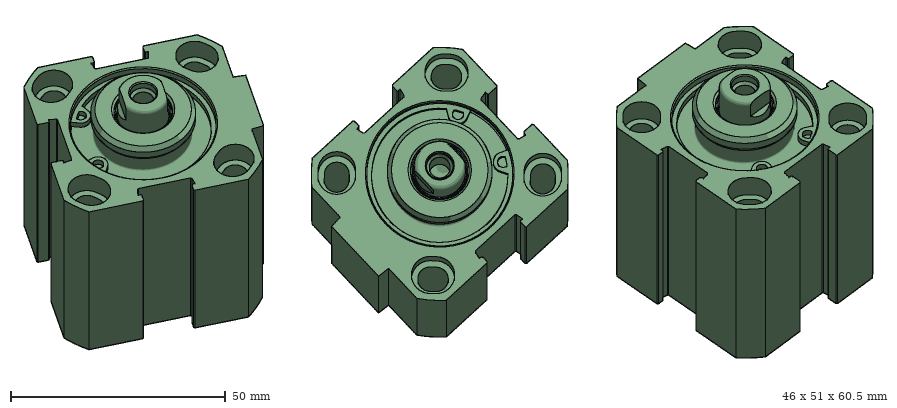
import cadquery as cq
import math


TOTAL_HEIGHT = 60.5
HOUSING_HEIGHT = 49.5
HALF_WIDTH_X = 23.0
HALF_WIDTH_Y = 24.0
CORNER_RADIUS = 30.0

RIB_TOP_Y = 27.0
RIB_BASE_HALF_WIDTH = 8.3
RIB_TOP_HALF_WIDTH = 8.05

SLOT_MOUTH_HALF_WIDTH = 6.05
SLOT_UNDERCUT_HALF_WIDTH = 6.9
SLOT_FLOOR_HALF_WIDTH = 6.55
SLOT_EDGE_CHAMFER = 0.25
SIDE_SLOT_LIP = 2.0
SIDE_SLOT_DEPTH = 3.95
FRONT_SLOT_LIP = 3.0
FRONT_SLOT_DEPTH = 5.0

MOUNT_X = 16.5
MOUNT_Y = 17.5
MOUNT_HOLE_DIAMETER = 5.8
MOUNT_RECESS_DIAMETER = 8.8
MOUNT_RECESS_DEPTH = 5.7
MOUNT_STRETCH = 1.35

MOUTH_DIAMETER = 34.1
MOUTH_CHAMFER = 0.3
COVER_TOP_DEPTH = 3.5
COVER_LENGTH = 10.0

RING_DIAMETER = 35.8
RING_INNER_RADIUS = 15.9
RING_THICKNESS = 1.5
LUG_RADIUS = 2.3
LUG_HOLE_DIAMETER = 2.6
LUG_X = 7.75
LUG_Y = 13.0
LUG_HEEL_ANGLE = 41.5

FLANGE_DIAMETER = 33.7
NECK_DIAMETER = 23.0
NECK_FILLET = 0.5
COLLAR_DIAMETER = 24.5
COLLAR_TOP_DIAMETER = 22.5
COLLAR_TOP_ABOVE_HOUSING = 5.0
COLLAR_TOP_BEVEL = 1.1
COLLAR_BAND = 1.95
COLLAR_LOWER_BEVEL = 1.2
SEAL_MOUTH_DIAMETER = 14.75
SEAL_DIAMETER = 13.7
SEAL_BEVEL = 0.55
SEAL_DEPTH = 1.2
SEAL_LIP_TOP_DIAMETER = 13.05
SEAL_LIP_DIAMETER = 12.5
SEAL_LIP_DEPTH = 2.4

ROD_DIAMETER = 12.0
ROD_ROUNDING = 1.2
FLAT_HALF_WIDTH = 5.0
FLAT_LENGTH = 4.6
SOCKET_MOUTH_DIAMETER = 6.8
SOCKET_DIAMETER = 6.25
SOCKET_DEPTH = 2.0
THREAD_DIAMETER = 4.9
THREAD_START = 2.65
THREAD_END = 12.1
DRILL_POINT_ANGLE = 164.0

COVER_TOP_Z = HOUSING_HEIGHT - COVER_TOP_DEPTH
BORE_FLOOR_Z = COVER_TOP_Z - COVER_LENGTH
COLLAR_TOP_Z = HOUSING_HEIGHT + COLLAR_TOP_ABOVE_HOUSING


def cylinder(diameter, z_low, z_high):
    """A round body on the bore axis between two levels."""
    return cq.Workplane("XY").workplane(offset=z_low).circle(diameter / 2).extrude(z_high - z_low)


def revolved(points):
    """A body turned about the bore axis from (radius, z) points."""
    return cq.Workplane("XZ").polyline(points).close().revolve(360, (0, 0, 0), (0, 1, 0))


def slot_cutter(face_distance, lip, depth):
    """A dovetail-like slot through the -Y side, running the full housing height."""
    face_y = -face_distance
    outline = [
        (SLOT_MOUTH_HALF_WIDTH + SLOT_EDGE_CHAMFER, face_y),
        (SLOT_MOUTH_HALF_WIDTH, face_y + SLOT_EDGE_CHAMFER),
        (SLOT_MOUTH_HALF_WIDTH, face_y + lip - SLOT_EDGE_CHAMFER),
        (SLOT_MOUTH_HALF_WIDTH + SLOT_EDGE_CHAMFER, face_y + lip),
        (SLOT_UNDERCUT_HALF_WIDTH, face_y + lip),
        (SLOT_FLOOR_HALF_WIDTH, face_y + depth - SLOT_EDGE_CHAMFER),
        (SLOT_FLOOR_HALF_WIDTH - SLOT_EDGE_CHAMFER, face_y + depth),
    ]
    mirrored = [(-x, y) for x, y in reversed(outline)]
    return cq.Workplane("XY").polyline(outline + mirrored).close().extrude(HOUSING_HEIGHT)


def oval(x, y, diameter, z_low, z_high):
    """An oval prism stretched at right angles to the diagonal of its corner."""
    angle = -45 if x * y > 0 else 45
    return (
        cq.Workplane("XY").workplane(offset=z_low).center(x, y)
        .slot2D(diameter + MOUNT_STRETCH, diameter, angle).extrude(z_high - z_low)
    )


def make_profile():
    body = cq.Workplane("XY").rect(2 * HALF_WIDTH_X, 2 * HALF_WIDTH_Y).extrude(HOUSING_HEIGHT)
    body = body.intersect(cylinder(2 * CORNER_RADIUS, 0, HOUSING_HEIGHT))
    rib = (
        cq.Workplane("XY")
        .polyline([
            (-RIB_BASE_HALF_WIDTH, 0),
            (-RIB_BASE_HALF_WIDTH, HALF_WIDTH_Y),
            (-RIB_TOP_HALF_WIDTH, RIB_TOP_Y),
            (RIB_TOP_HALF_WIDTH, RIB_TOP_Y),
            (RIB_BASE_HALF_WIDTH, HALF_WIDTH_Y),
            (RIB_BASE_HALF_WIDTH, 0),
        ])
        .close().extrude(HOUSING_HEIGHT)
    )
    body = body.union(rib)
    side_slot = slot_cutter(HALF_WIDTH_X, SIDE_SLOT_LIP, SIDE_SLOT_DEPTH)
    for turn in (90, -90):
        body = body.cut(side_slot.rotate((0, 0, 0), (0, 0, 1), turn))
    return body.cut(slot_cutter(HALF_WIDTH_Y, FRONT_SLOT_LIP, FRONT_SLOT_DEPTH))


def make_housing():
    body = make_profile()
    for x in (-MOUNT_X, MOUNT_X):
        for y in (-MOUNT_Y, MOUNT_Y):
            recess_floor_z = HOUSING_HEIGHT - MOUNT_RECESS_DEPTH
            body = body.cut(oval(x, y, MOUNT_HOLE_DIAMETER, 0, HOUSING_HEIGHT))
            body = body.cut(oval(x, y, MOUNT_RECESS_DIAMETER, recess_floor_z, HOUSING_HEIGHT))
    mouth_radius = MOUTH_DIAMETER / 2
    groove_top_z = COVER_TOP_Z + RING_THICKNESS
    bore = revolved([
        (0, BORE_FLOOR_Z),
        (FLANGE_DIAMETER / 2, BORE_FLOOR_Z),
        (FLANGE_DIAMETER / 2, COVER_TOP_Z),
        (RING_DIAMETER / 2, COVER_TOP_Z),
        (RING_DIAMETER / 2, groove_top_z),
        (mouth_radius, groove_top_z),
        (mouth_radius, HOUSING_HEIGHT - MOUTH_CHAMFER),
        (mouth_radius + MOUTH_CHAMFER, HOUSING_HEIGHT),
        (0, HOUSING_HEIGHT),
    ])
    return body.cut(bore)


def make_cover():
    band_top_z = COLLAR_TOP_Z - COLLAR_TOP_BEVEL
    band_bottom_z = band_top_z - COLLAR_BAND
    seal_floor_z = COLLAR_TOP_Z - SEAL_DEPTH
    lip_floor_z = COLLAR_TOP_Z - SEAL_LIP_DEPTH
    outside = [
        (FLANGE_DIAMETER / 2, BORE_FLOOR_Z),
        (FLANGE_DIAMETER / 2, COVER_TOP_Z),
        (NECK_DIAMETER / 2, COVER_TOP_Z),
        (NECK_DIAMETER / 2, band_bottom_z - COLLAR_LOWER_BEVEL),
        (COLLAR_DIAMETER / 2, band_bottom_z),
        (COLLAR_DIAMETER / 2, band_top_z),
        (COLLAR_TOP_DIAMETER / 2, COLLAR_TOP_Z),
    ]
    inside = [
        (SEAL_MOUTH_DIAMETER / 2, COLLAR_TOP_Z),
        (SEAL_DIAMETER / 2, COLLAR_TOP_Z - SEAL_BEVEL),
        (SEAL_DIAMETER / 2, seal_floor_z),
        (SEAL_LIP_TOP_DIAMETER / 2, seal_floor_z),
        (SEAL_LIP_DIAMETER / 2, lip_floor_z),
        (ROD_DIAMETER / 2, lip_floor_z),
        (ROD_DIAMETER / 2, BORE_FLOOR_Z),
    ]
    cover = revolved(outside + inside)
    base_edges = cover.edges(cq.selectors.BoxSelector(
        (-COLLAR_DIAMETER / 2, -COLLAR_DIAMETER / 2, COVER_TOP_Z - NECK_FILLET),
        (COLLAR_DIAMETER / 2, COLLAR_DIAMETER / 2, COVER_TOP_Z + NECK_FILLET),
        boundingbox=True,
    ))
    return base_edges.fillet(NECK_FILLET)


def flat_cutter():
    """Material beyond the -Y wrench flat; its lower face slopes outward and down at 45 degrees."""
    reach = ROD_DIAMETER
    flat_end_z = TOTAL_HEIGHT - FLAT_LENGTH
    return (
        cq.Workplane("YZ")
        .polyline([
            (-FLAT_HALF_WIDTH, TOTAL_HEIGHT),
            (-FLAT_HALF_WIDTH, flat_end_z),
            (-FLAT_HALF_WIDTH - reach, flat_end_z - reach),
            (-FLAT_HALF_WIDTH - reach, TOTAL_HEIGHT),
        ])
        .close().extrude(ROD_DIAMETER, both=True)
    )


def make_rod():
    rod = cylinder(ROD_DIAMETER, BORE_FLOOR_Z, TOTAL_HEIGHT).faces(">Z").edges().fillet(ROD_ROUNDING)
    flat = flat_cutter()
    rod = rod.cut(flat).cut(flat.mirror("XZ"))
    mouth_bevel = (SOCKET_MOUTH_DIAMETER - SOCKET_DIAMETER) / 2
    thread_radius = THREAD_DIAMETER / 2
    drill_point = thread_radius / math.tan(math.radians(DRILL_POINT_ANGLE / 2))
    socket = revolved([
        (0, TOTAL_HEIGHT),
        (SOCKET_MOUTH_DIAMETER / 2, TOTAL_HEIGHT),
        (SOCKET_DIAMETER / 2, TOTAL_HEIGHT - mouth_bevel),
        (SOCKET_DIAMETER / 2, TOTAL_HEIGHT - SOCKET_DEPTH),
        (thread_radius, TOTAL_HEIGHT - THREAD_START),
        (thread_radius, TOTAL_HEIGHT - THREAD_END),
        (0, TOTAL_HEIGHT - THREAD_END - drill_point),
    ])
    return rod.cut(socket)


def polar_from_front(radius, angle):
    """A point at an angle in degrees from -Y toward +X."""
    return radius * math.sin(math.radians(angle)), -radius * math.cos(math.radians(angle))


def ring_plane():
    """A workplane at the underside of the retaining ring."""
    return cq.Workplane("XY").workplane(offset=COVER_TOP_Z)


def make_ring():
    lug_distance = math.hypot(LUG_X, LUG_Y)
    lug_angle = math.degrees(math.atan2(LUG_X, LUG_Y))
    end_angle = lug_angle - math.degrees(math.asin(LUG_RADIUS / lug_distance))
    end_distance = math.sqrt(lug_distance ** 2 - LUG_RADIUS ** 2)

    ring = ring_plane().circle(RING_DIAMETER / 2).circle(RING_INNER_RADIUS).extrude(RING_THICKNESS)
    gap_right = polar_from_front(RING_DIAMETER, end_angle)
    gap_left = (-gap_right[0], gap_right[1])
    ring = ring.cut(ring_plane().polyline([(0, 0), gap_right, gap_left]).close().extrude(RING_THICKNESS))

    heel = polar_from_front(RING_INNER_RADIUS, LUG_HEEL_ANGLE)
    heel_reach = math.hypot(heel[0] - LUG_X, heel[1] + LUG_Y)
    touch_turn = math.acos(LUG_RADIUS / heel_reach)
    touch_direction = math.atan2(heel[1] + LUG_Y, heel[0] - LUG_X) + touch_turn
    heel_touch = (
        LUG_X + LUG_RADIUS * math.cos(touch_direction),
        -LUG_Y + LUG_RADIUS * math.sin(touch_direction),
    )
    web_outline = [
        (LUG_X, -LUG_Y),
        polar_from_front(end_distance, end_angle),
        polar_from_front(RING_INNER_RADIUS, end_angle),
        polar_from_front(RING_DIAMETER / 2, lug_angle),
        heel,
        heel_touch,
    ]
    web = ring_plane().polyline(web_outline).close().extrude(RING_THICKNESS)
    eye = ring_plane().center(LUG_X, -LUG_Y).circle(LUG_RADIUS).extrude(RING_THICKNESS)
    hole = ring_plane().center(LUG_X, -LUG_Y).circle(LUG_HOLE_DIAMETER / 2).extrude(RING_THICKNESS)
    lug = web.union(eye).cut(hole)
    return ring.union(lug).union(lug.mirror("YZ"))


housing = make_housing()
cover = make_cover()
rod = make_rod()
ring = make_ring()

result = cq.Compound.makeCompound([housing.val(), cover.val(), rod.val(), ring.val()])